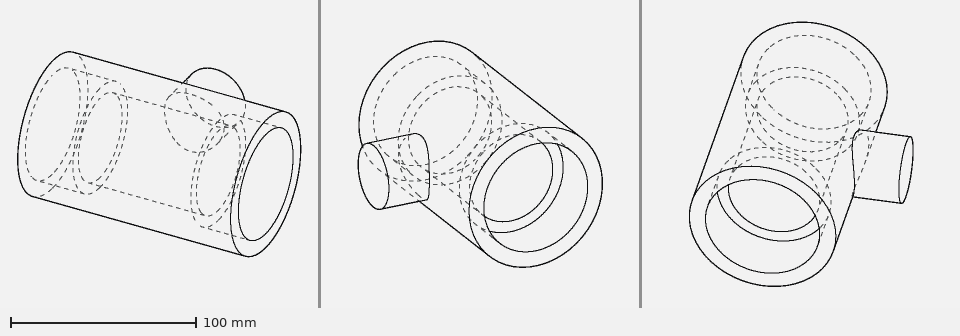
import cadquery as cq

sleeve_length = 130.0
sleeve_diameter = 81.0
bore_diameter = 50.5
socket_diameter = 63.0
socket_depth = 29.0

branch_diameter = 36.4
branch_reach = 65.0


def cylinder_along_x(diameter, start, length):
    return cq.Workplane("YZ", origin=(start, 0, 0)).circle(diameter / 2).extrude(length)


sleeve_end = sleeve_length / 2

sleeve = cylinder_along_x(sleeve_diameter, -sleeve_end, sleeve_length)
branch = cq.Workplane("XZ").circle(branch_diameter / 2).extrude(-branch_reach)
result = sleeve.union(branch)

result = result.cut(cylinder_along_x(bore_diameter, -sleeve_end, sleeve_length))

for socket_start in (-sleeve_end, sleeve_end - socket_depth):
    result = result.cut(cylinder_along_x(socket_diameter, socket_start, socket_depth))